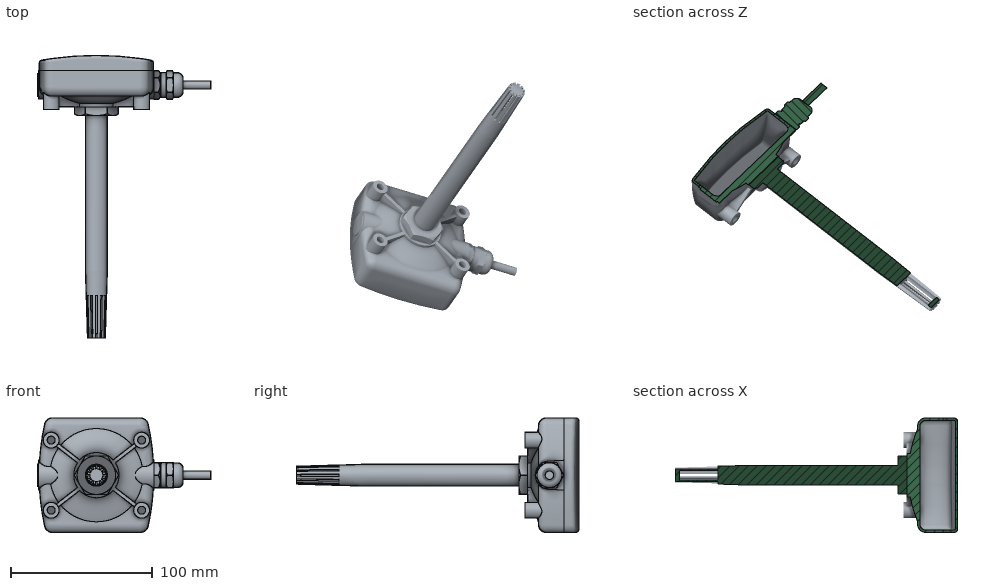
import cadquery as cq
import math


OVERALL_LENGTH = 199.7

HALF_WIDTH = 40.5
CORNER_HALF_WIDTH = 35.5
HALF_HEIGHT = 40.5
CORNER_RADIUS = 6.0
WALL = 2.0

BASE_DEPTH = 18.2
BASE_FILLET = 5.8
DOME_RADIUS = 33.0
COLLAR_RADIUS = 16.0
DOME_HEIGHT = 5.2
DOME_SPHERE_RADIUS = 84.7
COLLAR_Y = -25.8

POST_X = 32.0
POST_Z = 24.8
POST_RADIUS = 5.5
POST_START_Y = -10.0
POST_END_Y = -27.8
SCREW_HOLE_RADIUS = 2.8
RIB_WIDTH = 2.5

ENTRY_Y = -10.4
ENTRY_RADIUS = 10.0
ENTRY_TOP_HALF = 10.5
ENTRY_INNER_X = 20.0
ENTRY_FACE_X = 40.7
PLUG_RADIUS = 8.0
PLUG_FACE_X = 41.5

LID_CROWN = 10.5
LID_CROWN_RADIUS = 225.7
LID_FILLET = 2.5

NUT_FLATS = 27.2
NUT_CORNER_RADIUS = 15.5
NUT_END_Y = -32.0
NUT_CHAMFER_LENGTH = 1.2
TUBE_RADIUS = 7.8
TAPER_START_Y = -141.8
SLOT_START_Y = -159.2
TIP_END_Y = LID_CROWN - OVERALL_LENGTH
TIP_RADIUS = 6.4
TIP_CORE_RADIUS = 4.5
TIP_PLUG_LENGTH = 3.2
SLOT_COUNT = 12
SLOT_WIDTH = 1.2

GLAND_FLATS = 17.8
GLAND_CORNER_RADIUS = 10.2
BODY_HEX_END_X = 45.0
BODY_CHAMFER_LENGTH = 1.2
NECK_RADIUS = 8.2
FLANGE_START_X = 45.7
FLANGE_RADIUS = 9.0
CAP_HEX_START_X = 49.3
CAP_HEX_END_X = 54.3
CAP_CHAMFER_LENGTH = 0.5
GLAND_END_X = 61.3
CAP_RADIUS = 8.8
CAP_ROUNDING = 4.2

CABLE_RADIUS = 3.0
CABLE_END_X = 80.9


def enclosure_outline(inset):
    """Closed outline in the joint plane, moved inwards by the inset."""
    bow = HALF_WIDTH - CORNER_HALF_WIDTH
    side_radius = (HALF_HEIGHT**2 + bow**2) / (2 * bow)
    height = HALF_HEIGHT - inset
    middle = HALF_WIDTH - inset
    corner = HALF_WIDTH - side_radius + math.sqrt((side_radius - inset) ** 2 - height**2)
    return (
        cq.Workplane("XZ")
        .moveTo(-corner, height)
        .lineTo(corner, height)
        .threePointArc((middle, 0), (corner, -height))
        .lineTo(-corner, -height)
        .threePointArc((-middle, 0), (-corner, height))
        .close()
    )


def base_block(inset):
    """Half of the enclosure in front of the joint, rounded along its front edges."""
    block = enclosure_outline(inset).extrude(BASE_DEPTH - inset)
    block = block.edges("|Y").fillet(CORNER_RADIUS - inset)
    return block.faces("<Y").edges().fillet(BASE_FILLET - inset)


def lid_block(inset):
    """Half of the enclosure behind the joint, with a crowned back and rounded back edges."""
    block = enclosure_outline(inset).extrude(-LID_CROWN)
    block = block.edges("|Y").fillet(CORNER_RADIUS - inset)
    crown_radius = LID_CROWN_RADIUS - inset
    crown_cylinder = (
        cq.Workplane("XY")
        .center(0, LID_CROWN - LID_CROWN_RADIUS)
        .circle(crown_radius)
        .extrude(HALF_HEIGHT, both=True)
    )
    block = block.intersect(crown_cylinder)
    return block.faces(">Y").edges().fillet(LID_FILLET - inset)


def y_cylinder(x, z, radius, start_y, end_y):
    return cq.Workplane("XZ", origin=(x, start_y, z)).circle(radius).extrude(start_y - end_y)


def entry_cylinder(radius, start_x, end_x):
    """Cylinder on the cable entry axis."""
    return cq.Workplane("YZ", origin=(start_x, ENTRY_Y, 0)).circle(radius).extrude(end_x - start_x)


def turned_on_probe_axis(points):
    """Solid of revolution from (radius, y) points that start and end on the probe axis."""
    return cq.Workplane("XY").polyline(points).close().revolve(360, (0, 0, 0), (0, 1, 0))


def turned_on_entry_axis(points):
    """Solid of revolution from (x, radius) points that start and end on the cable entry axis."""
    axis_plane = cq.Workplane("XY", origin=(0, ENTRY_Y, 0))
    return axis_plane.polyline(points).close().revolve(360, (0, 0, 0), (1, 0, 0))


def hexagon_diameter(flats):
    """Diameter over the corners of a hexagon given its size across flats."""
    return flats / math.cos(math.pi / 6)


def dome_and_collar():
    """Spherical dome on the base face, ending in the flat collar that carries the probe."""
    dome_end_y = -BASE_DEPTH - DOME_HEIGHT
    return (
        cq.Workplane("XY")
        .moveTo(0, -BASE_DEPTH)
        .lineTo(DOME_RADIUS, -BASE_DEPTH)
        .radiusArc((COLLAR_RADIUS, dome_end_y), DOME_SPHERE_RADIUS)
        .lineTo(COLLAR_RADIUS, COLLAR_Y)
        .lineTo(0, COLLAR_Y)
        .close()
        .revolve(360, (0, 0, 0), (0, 1, 0))
    )


def rib(side_x, side_z):
    """Rib from the probe axis to one screw post, level with the collar."""
    angle = math.degrees(math.atan2(side_z * POST_Z, side_x * POST_X))
    length = math.hypot(POST_X, POST_Z)
    bar = (
        cq.Workplane("XZ", origin=(0, -BASE_DEPTH, 0))
        .center(length / 2, 0)
        .rect(length, RIB_WIDTH)
        .extrude(-BASE_DEPTH - COLLAR_Y)
    )
    return bar.rotate((0, 0, 0), (0, 1, 0), -angle)


def cable_entry(side_x):
    """Round entry boss that widens slightly into the lid joint; built on +X and mirrored for -X."""
    length = ENTRY_FACE_X - ENTRY_INNER_X
    boss = entry_cylinder(ENTRY_RADIUS, ENTRY_INNER_X, ENTRY_FACE_X)
    filler = (
        cq.Workplane("YZ", origin=(ENTRY_INNER_X, 0, 0))
        .polyline([
            (0, ENTRY_TOP_HALF),
            (ENTRY_Y, ENTRY_RADIUS),
            (ENTRY_Y, -ENTRY_RADIUS),
            (0, -ENTRY_TOP_HALF),
        ])
        .close()
        .extrude(length)
    )
    boss = boss.union(filler)
    return boss if side_x > 0 else boss.mirror("YZ")


def make_base():
    base = base_block(0).union(dome_and_collar())
    corners = [(side_x, side_z) for side_x in (-1, 1) for side_z in (-1, 1)]
    for side_x, side_z in corners:
        base = base.union(rib(side_x, side_z))
        post = y_cylinder(side_x * POST_X, side_z * POST_Z, POST_RADIUS, POST_START_Y, POST_END_Y)
        base = base.union(post)
    for side_x in (-1, 1):
        base = base.union(cable_entry(side_x))
    base = base.union(entry_cylinder(PLUG_RADIUS, -PLUG_FACE_X, -ENTRY_FACE_X))
    base = base.cut(base_block(WALL))
    for side_x, side_z in corners:
        hole = y_cylinder(side_x * POST_X, side_z * POST_Z, SCREW_HOLE_RADIUS, 0, POST_END_Y)
        base = base.cut(hole)
    return base


def make_lid():
    return lid_block(0).cut(lid_block(WALL))


def make_probe():
    nut_profile = turned_on_probe_axis([
        (0, COLLAR_Y),
        (NUT_CORNER_RADIUS, COLLAR_Y),
        (NUT_CORNER_RADIUS, NUT_END_Y + NUT_CHAMFER_LENGTH),
        (NUT_FLATS / 2, NUT_END_Y),
        (0, NUT_END_Y),
    ])
    nut = (
        cq.Workplane("XZ", origin=(0, COLLAR_Y, 0))
        .polygon(6, hexagon_diameter(NUT_FLATS))
        .extrude(COLLAR_Y - NUT_END_Y)
        .intersect(nut_profile)
    )
    tube = turned_on_probe_axis([
        (0, NUT_END_Y),
        (TUBE_RADIUS, NUT_END_Y),
        (TUBE_RADIUS, TAPER_START_Y),
        (TIP_RADIUS, TIP_END_Y),
        (0, TIP_END_Y),
    ])
    bore = y_cylinder(0, 0, TIP_CORE_RADIUS, SLOT_START_Y, TIP_END_Y + TIP_PLUG_LENGTH)
    tube = tube.cut(bore)
    slot_length = SLOT_START_Y - TIP_END_Y
    slot_ring = y_cylinder(0, 0, TUBE_RADIUS, SLOT_START_Y, TIP_END_Y).cut(
        y_cylinder(0, 0, TIP_CORE_RADIUS, SLOT_START_Y, TIP_END_Y)
    )
    slot = (
        cq.Workplane("XZ", origin=(0, SLOT_START_Y, 0))
        .center(TUBE_RADIUS / 2, 0)
        .rect(TUBE_RADIUS, SLOT_WIDTH)
        .extrude(slot_length)
        .intersect(slot_ring)
    )
    for index in range(SLOT_COUNT):
        tube = tube.cut(slot.rotate((0, 0, 0), (0, 1, 0), index * 360 / SLOT_COUNT))
    return nut.union(tube)


def gland_hexagon(start_x, end_x, chamfer_start, chamfer_end):
    """Hexagon with turned corners, flats up and down, and the given chamfer length at each end."""
    profile = turned_on_entry_axis([
        (start_x, 0),
        (start_x, GLAND_FLATS / 2),
        (start_x + chamfer_start, GLAND_CORNER_RADIUS),
        (end_x - chamfer_end, GLAND_CORNER_RADIUS),
        (end_x, GLAND_FLATS / 2),
        (end_x, 0),
    ])
    prism = (
        cq.Workplane("YZ", origin=(start_x, ENTRY_Y, 0))
        .polygon(6, hexagon_diameter(GLAND_FLATS))
        .extrude(end_x - start_x)
    )
    return prism.intersect(profile)


def make_gland():
    gland = gland_hexagon(ENTRY_FACE_X, BODY_HEX_END_X, 0, BODY_CHAMFER_LENGTH)
    gland = gland.union(entry_cylinder(NECK_RADIUS, BODY_HEX_END_X, FLANGE_START_X))
    gland = gland.union(entry_cylinder(FLANGE_RADIUS, FLANGE_START_X, CAP_HEX_START_X))
    gland = gland.union(
        gland_hexagon(CAP_HEX_START_X, CAP_HEX_END_X, CAP_CHAMFER_LENGTH, CAP_CHAMFER_LENGTH)
    )
    cap = entry_cylinder(CAP_RADIUS, CAP_HEX_END_X, GLAND_END_X)
    return gland.union(cap.faces(">X").edges().fillet(CAP_ROUNDING))


def make_cable():
    return entry_cylinder(CABLE_RADIUS, GLAND_END_X, CABLE_END_X)


base = make_base()
lid = make_lid()
probe = make_probe()
gland = make_gland()
cable = make_cable()

bodies = [base, lid, probe, gland, cable]
result = cq.Compound.makeCompound([body.solids().val() for body in bodies])